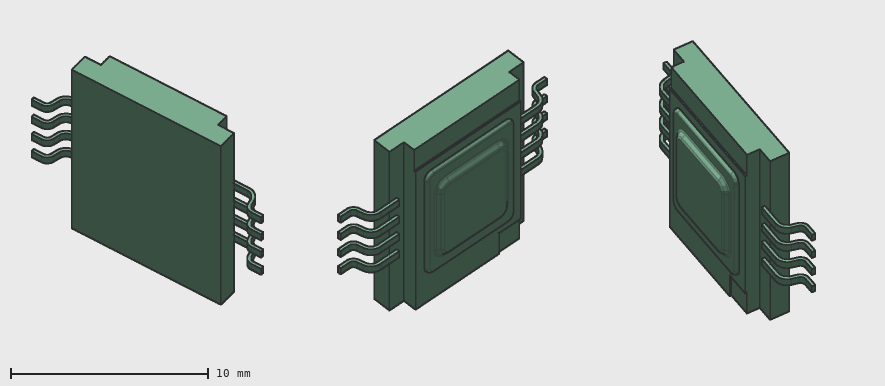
import cadquery as cq
import math


body_height = 11.5
base_width = 9.3
upper_width = 7.3
shelf_y = 1.15
deck_y = 2.0

recess_depth = 0.1
recess_length = 1.5

flange_width = 6.09
flange_height = 7.3
flange_thickness = 0.21
flange_corner = 0.49
flange_edge_radius = 0.17
dome_width = 5.03
dome_height = 5.56
dome_corner = 0.77
lid_top_y = 2.5
dome_slope = 45
dome_edge_radius = 0.23
dome_base_radius = 0.17

lead_span = 14.3
lead_thickness = 0.2
lead_width = 0.45
lead_pitch = 1.25
leads_per_side = 4
lead_shelf_overlap = 0.5
foot_length = 0.61
foot_bend_radius = 0.4
shoulder_bend_radius = 0.61
lead_tilt = math.radians(14)


def block(width, height, y_start, y_end):
    """Box centred on the Y axis, between two Y levels."""
    box = cq.Workplane("XY").box(width, y_end - y_start, height)
    return box.translate((0, (y_start + y_end) / 2, 0))


def make_housing():
    base = block(base_width, body_height, 0, shelf_y)
    upper = block(upper_width, body_height, shelf_y, deck_y)
    floor_y = deck_y - recess_depth
    recess_offset = (body_height - recess_length) / 2
    top_recess = block(upper_width, recess_length, floor_y, deck_y).translate((0, 0, recess_offset))
    index_mark = block(recess_length, recess_length, floor_y, deck_y)
    index_mark = index_mark.translate((-(upper_width - recess_length) / 2, 0, -recess_offset))
    return base.union(upper).cut(top_recess).cut(index_mark)


def make_lid():
    flange_top_y = deck_y + flange_thickness
    flange = block(flange_width, flange_height, deck_y, flange_top_y)
    flange = flange.edges("|Y").fillet(flange_corner)
    flange = flange.faces(">Y").edges().fillet(flange_edge_radius)

    dome_outline = cq.Sketch().rect(dome_width, dome_height).vertices().fillet(dome_corner)
    dome = (
        cq.Workplane("XZ", origin=(0, flange_top_y, 0))
        .placeSketch(dome_outline)
        .extrude(flange_top_y - lid_top_y, taper=dome_slope)
    )
    dome = dome.faces(">Y").edges().fillet(dome_edge_radius)
    lid = flange.union(dome)
    foot_margin = 0.01
    half_width = dome_width / 2 + foot_margin
    half_height = dome_height / 2 + foot_margin
    dome_foot = cq.selectors.BoxSelector(
        (-half_width, flange_top_y - foot_margin, -half_height),
        (half_width, flange_top_y + foot_margin, half_height),
        boundingbox=True,
    )
    return lid.edges(dome_foot).fillet(dome_base_radius)


def make_left_lead():
    """Gull-wing strip swept from the foot tip up to the shelf, centred on Z = 0."""
    foot_y = lead_thickness / 2
    shoulder_y = shelf_y + lead_thickness / 2
    bend_x = -lead_span / 2 + foot_length
    sin_tilt = math.sin(lead_tilt)
    cos_tilt = math.cos(lead_tilt)
    bend_radii = foot_bend_radius + shoulder_bend_radius
    riser_length = (shoulder_y - foot_y - bend_radii * (1 - sin_tilt)) / cos_tilt
    riser_x = bend_x + foot_bend_radius * cos_tilt
    riser_y = foot_y + foot_bend_radius * (1 - sin_tilt)
    riser_end_x = riser_x + riser_length * sin_tilt
    riser_end_y = riser_y + riser_length * cos_tilt
    shoulder_x = riser_end_x + shoulder_bend_radius * cos_tilt
    inner_end_x = -base_width / 2 + lead_shelf_overlap

    centreline = (
        cq.Workplane("XY")
        .moveTo(-lead_span / 2, foot_y)
        .lineTo(bend_x, foot_y)
        .tangentArcPoint((riser_x, riser_y), relative=False)
        .lineTo(riser_end_x, riser_end_y)
        .tangentArcPoint((shoulder_x, shoulder_y), relative=False)
        .lineTo(inner_end_x, shoulder_y)
    )
    section = cq.Workplane("YZ", origin=(-lead_span / 2, foot_y, 0)).rect(lead_thickness, lead_width)
    return section.sweep(centreline)


result = make_housing().union(make_lid())
left_lead = make_left_lead()
right_lead = left_lead.mirror("YZ")
for index in range(leads_per_side):
    lead_z = (index - (leads_per_side - 1) / 2) * lead_pitch
    for lead in (left_lead, right_lead):
        result = result.union(lead.translate((0, 0, lead_z)))